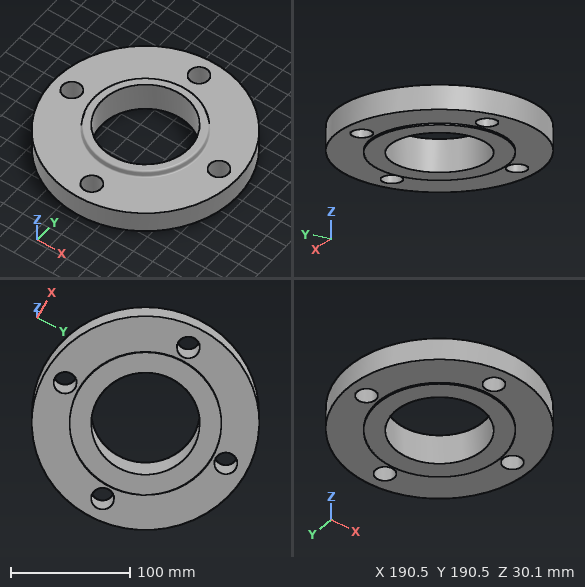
import cadquery as cq
import math

flange_diameter = 190.5
plate_thickness = 22.3
raised_face_diameter = 127.0
raised_face_height = 1.5

hub_base_diameter = 108.0
hub_height = 6.3
hub_taper_angle = 7.0
hub_root_fillet = 1.5
hub_top_fillet = 1.9

bore_diameter = 90.7
bolt_circle_diameter = 152.4
bolt_hole_diameter = 19.0
bolt_count = 4

plate_top = raised_face_height + plate_thickness
hub_top = plate_top + hub_height
hub_base_radius = hub_base_diameter / 2
hub_top_radius = hub_base_radius - hub_height * math.tan(math.radians(hub_taper_angle))


def revolved_body():
    """Revolve the stepped half-section of raised face, plate and tapered hub."""
    section = (
        cq.Workplane("XZ")
        .moveTo(bore_diameter / 2, 0)
        .lineTo(raised_face_diameter / 2, 0)
        .lineTo(raised_face_diameter / 2, raised_face_height)
        .lineTo(flange_diameter / 2, raised_face_height)
        .lineTo(flange_diameter / 2, plate_top)
        .lineTo(hub_base_radius, plate_top)
        .lineTo(hub_top_radius, hub_top)
        .lineTo(bore_diameter / 2, hub_top)
        .close()
    )
    return section.revolve(360, (0, 0, 0), (0, 1, 0))


def bolt_holes():
    """Cylinders through the plate, evenly spaced on the bolt circle from +X."""
    return (
        cq.Workplane("XY")
        .polarArray(bolt_circle_diameter / 2, 0, 360, bolt_count)
        .circle(bolt_hole_diameter / 2)
        .extrude(plate_top)
    )


body = revolved_body()
body = body.faces(">Z").edges(cq.selectors.RadiusNthSelector(-1)).fillet(hub_top_fillet)
body = body.faces("+Z").faces("<Z").edges(cq.selectors.RadiusNthSelector(0)).fillet(hub_root_fillet)

result = body.cut(bolt_holes())